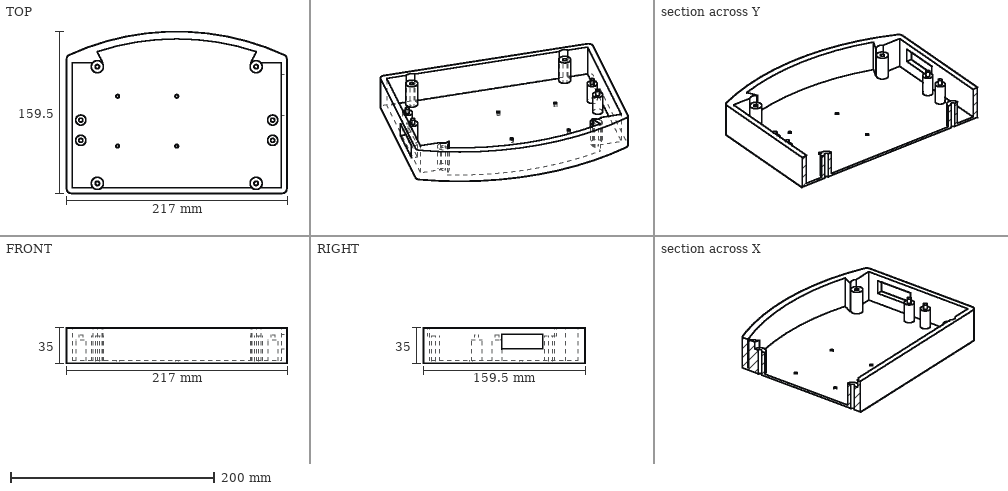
import cadquery as cq

width = 217.0
depth = 159.5
height = 35.0
side_depth = 135.1
corner_radius = 5.0
wall = 5.9
floor = 3.0

bay_rear_y = 128.8
bow_half_width = 78.3
bow_corner_y = 139.5
bow_apex_y = 152.0
bow_mouth_half_width = 72.9

post_diameter = 12.0
post_hole_diameter = 4.0
post_height = 24.0
post_x = 78.0
post_front_y = 10.0
post_rear_y = 124.7

standoff_diameter = 10.0
standoff_height = 20.0
pin_diameter = 4.0
pin_height = 5.0
standoff_x = 94.4
standoff_front_y = 52.3
standoff_spacing = 20.0

board_hole_diameter = 3.0
board_left_x = -58.1
board_right_x = 0.0
board_front_y = 46.6
board_rear_y = 95.7

window_front_y = 77.0
window_rear_y = 117.3
window_bottom_z = 14.3
window_top_z = 28.5

half_width = width / 2
inner_half_width = half_width - wall
post_points = [(x, y) for x in (-post_x, post_x) for y in (post_front_y, post_rear_y)]
standoff_points = [
    (x, y)
    for x in (-standoff_x, standoff_x)
    for y in (standoff_front_y, standoff_front_y + standoff_spacing)
]
board_points = [(x, y) for x in (board_left_x, board_right_x) for y in (board_front_y, board_rear_y)]


def cylinders(points, diameter, bottom, top):
    """Upright cylinders at the given points, between two heights."""
    return cq.Workplane("XY", origin=(0, 0, bottom)).pushPoints(points).circle(diameter / 2).extrude(top - bottom)


def outer_body():
    return (
        cq.Workplane("XY")
        .moveTo(-half_width, 0)
        .lineTo(half_width, 0)
        .lineTo(half_width, side_depth)
        .threePointArc((0, depth), (-half_width, side_depth))
        .close()
        .extrude(height)
        .edges("|Z")
        .fillet(corner_radius)
    )


def cavity():
    return (
        cq.Workplane("XY", origin=(0, 0, floor))
        .moveTo(-inner_half_width, wall)
        .lineTo(inner_half_width, wall)
        .lineTo(inner_half_width, bay_rear_y)
        .lineTo(bow_mouth_half_width, bay_rear_y)
        .lineTo(bow_half_width, bow_corner_y)
        .threePointArc((0, bow_apex_y), (-bow_half_width, bow_corner_y))
        .lineTo(-bow_mouth_half_width, bay_rear_y)
        .lineTo(-inner_half_width, bay_rear_y)
        .close()
        .extrude(height - floor)
    )


def side_window():
    return cq.Workplane("XY").box(
        wall,
        window_rear_y - window_front_y,
        window_top_z - window_bottom_z,
        centered=False,
    ).translate((inner_half_width, window_front_y, window_bottom_z))


post_top = floor + post_height
standoff_top = floor + standoff_height

result = outer_body().cut(cavity()).cut(side_window())

result = result.union(cylinders(post_points, post_diameter, 0, post_top))
result = result.cut(cylinders(post_points, post_diameter, post_top, height))
result = result.cut(cylinders(post_points, post_hole_diameter, 0, post_top))

result = result.union(cylinders(standoff_points, standoff_diameter, 0, standoff_top))
result = result.union(cylinders(standoff_points, pin_diameter, 0, standoff_top + pin_height))

result = result.cut(cylinders(board_points, board_hole_diameter, 0, floor))